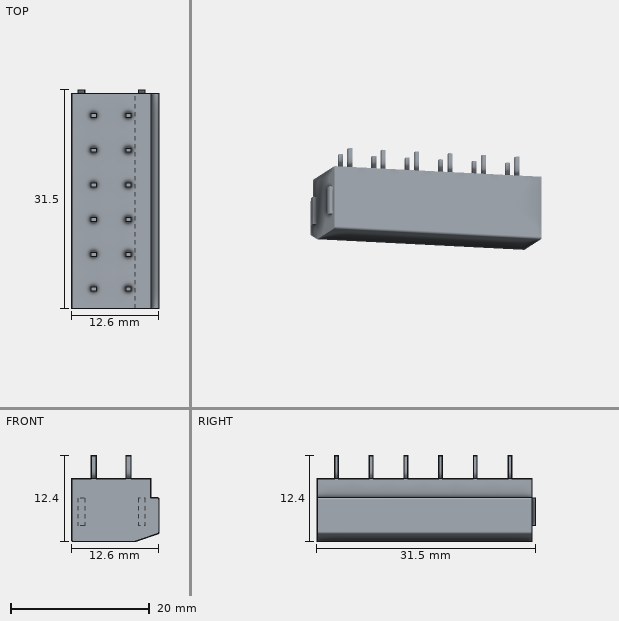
import cadquery as cq

body_length = 31.0
body_width = 12.6
body_height = 9.1
top_width = 11.4
step_depth = 2.75
slope_start_x = 9.1
slope_rise = 1.2
corner_radius = 0.3

pin_columns = 2
pin_rows = 6
pin_pitch = 5.0
pin_size_x = 0.75
pin_size_y = 0.55
pin_height = 3.3
first_pin_x = 3.2
first_pin_y = 2.8

tab_width = 1.0
tab_height = 4.0
tab_length = 0.5
tab_bottom_z = 2.3
tab_centers_x = (1.4, 10.1)


def make_housing():
    """Stepped block with a sloped lower edge and three rounded edges."""
    ledge_z = body_height - step_depth
    profile = [
        (0, 0),
        (slope_start_x, 0),
        (body_width, slope_rise),
        (body_width, ledge_z),
        (top_width, ledge_z),
        (top_width, body_height),
        (0, body_height),
    ]
    block = cq.Workplane("XZ").polyline(profile).close().extrude(-body_length)
    lower_left_edge = cq.selectors.NearestToPointSelector((0, body_length / 2, 0))
    right_side_edges = block.faces(">X").edges("|Y")
    rounded_edges = block.edges(lower_left_edge).add(right_side_edges)
    return rounded_edges.fillet(corner_radius)


def make_pins():
    """Grid of rectangular pins standing on the upper face."""
    positions = []
    for column in range(pin_columns):
        for row in range(pin_rows):
            positions.append((first_pin_x + column * pin_pitch, first_pin_y + row * pin_pitch))
    upper_face = cq.Workplane("XY").workplane(offset=body_height)
    return upper_face.pushPoints(positions).rect(pin_size_x, pin_size_y).extrude(pin_height)


def make_tab(center_x):
    """Upright rectangular tab projecting from the rear face."""
    tab = cq.Workplane("XY").box(tab_width, tab_length, tab_height, centered=(True, False, False))
    return tab.translate((center_x, body_length, tab_bottom_z))


result = make_housing().union(make_pins())
for tab_x in tab_centers_x:
    result = result.union(make_tab(tab_x))